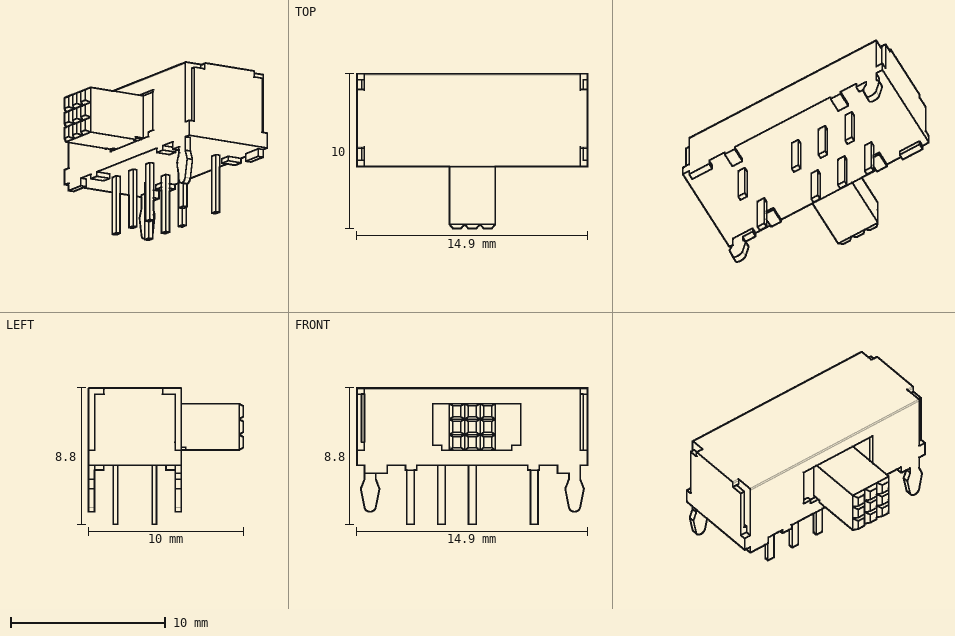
import cadquery as cq

length = 14.9
depth = 6.0
height = 5.0
wall = 0.4
top_edge_radius = 0.07
half_length = length / 2
half_depth = depth / 2
shell_ceiling = height - wall

corner_length = 0.48
corner_floor = 1.0
end_plate = 0.3
front_tab_inset = 1.2
back_tab_inset = 1.0
left_gap_floor = 1.5
right_gap_floor = corner_floor

window_center = 0.28
window_width = 5.69
window_neck_width = 4.53
window_top = 4.0
window_shoulder = 1.3
window_bottom = corner_floor
window_recess = 0.3

slider_length = 4.0
slider_width = 2.98
stud_height = 0.27
studs_per_side = 3
stud_size_x = slider_width / studs_per_side
stud_size_z = (window_top - window_bottom) / studs_per_side
stud_bevel_x = 0.24
stud_bevel_z = 0.15
notch_size_x = 0.24
notch_size_y = 0.27
notch_size_z = 0.18

foot_width = 1.49
foot_drop = 0.5
leg_shoulder_half_width = 0.37
leg_bulge_half_width = 0.61
leg_tip_half_width = 0.37
leg_neck_z = -0.9
leg_bulge_z = -1.5
leg_tip_z = -2.7
leg_end_z = -3.0
standoff_center = 3.95
standoff_width = 0.75
standoff_depth = 1.0
standoff_drop = 0.3
pin_pitch = 2.0
pin_slots = (-2, -1, 0, 2)
pin_row_offset = 1.25
pin_width = 0.5
pin_thickness = 0.3
pin_drop = 3.8


def box(x0, x1, y0, y1, z0, z1):
    """Axis-aligned block between opposite corners."""
    return cq.Workplane("XY").box(x1 - x0, y1 - y0, z1 - z0, centered=False).translate((x0, y0, z0))


def end_span(side, inner, outer):
    """X range at the left (-1) or right (+1) end, from two distances to the centre."""
    return sorted((side * inner, side * outer))


def make_body():
    body = box(-half_length, half_length, -half_depth, half_depth, 0, height)
    body = body.edges("|X and >Z").fillet(top_edge_radius)
    for side, gap_floor in ((-1, left_gap_floor), (1, right_gap_floor)):
        x0, x1 = end_span(side, half_length - corner_length, half_length)
        opening = box(x0, x1, -half_depth, half_depth, shell_ceiling, height)
        tab = box(x0, x1, -half_depth + front_tab_inset, half_depth - back_tab_inset, shell_ceiling, height)
        body = body.cut(opening.cut(tab.edges("|X and >Z").fillet(top_edge_radius)))
        body = body.cut(box(x0, x1, -half_depth, -half_depth + wall, corner_floor, height))
        body = body.cut(box(x0, x1, half_depth - wall, half_depth, corner_floor, height))
        gap_x0, gap_x1 = end_span(side, half_length - corner_length, half_length - end_plate)
        body = body.cut(
            box(gap_x0, gap_x1, -half_depth + wall, half_depth - wall, gap_floor, shell_ceiling)
        )
    return body


def make_window():
    recess_y = -half_depth + window_recess
    neck_half = window_neck_width / 2
    wide_half = window_width / 2
    neck = box(window_center - neck_half, window_center + neck_half, -half_depth, recess_y,
               window_bottom, window_top)
    wide = box(window_center - wide_half, window_center + wide_half, -half_depth, recess_y,
               window_shoulder, window_top)
    return neck.union(wide)


def make_stud(x, z):
    """Truncated pyramid pointing to -Y with its base centred on (x, z)."""
    return (
        cq.Workplane("XZ", origin=(x, -half_depth - slider_length + stud_height, z))
        .rect(stud_size_x, stud_size_z)
        .workplane(offset=stud_height)
        .rect(stud_size_x - 2 * stud_bevel_x, stud_size_z - 2 * stud_bevel_z)
        .loft(ruled=True)
    )


def make_slider():
    half_width = slider_width / 2
    slider = box(-half_width, half_width, -half_depth - slider_length + stud_height,
                 -half_depth + window_recess, window_bottom, window_top)
    for side in (-1, 1):
        x0, x1 = end_span(side, half_width - notch_size_x, half_width)
        slider = slider.cut(box(x0, x1, -half_depth - notch_size_y, -half_depth + window_recess,
                                window_bottom, window_bottom + notch_size_z))
    for column in range(studs_per_side):
        for row in range(studs_per_side):
            x = -half_width + (column + 0.5) * stud_size_x
            z = window_bottom + (row + 0.5) * stud_size_z
            slider = slider.union(make_stud(x, z))
    return slider


def make_feet():
    """Flat foot at each corner, continuing the long walls of the shell."""
    feet = cq.Workplane("XY")
    foot_outer = half_length - corner_length
    for side in (-1, 1):
        x0, x1 = end_span(side, foot_outer - foot_width, foot_outer)
        feet = feet.union(box(x0, x1, -half_depth, -half_depth + wall, -foot_drop, 0))
        feet = feet.union(box(x0, x1, half_depth - wall, half_depth, -foot_drop, 0))
    return feet


def make_leg(x, front_y):
    """Bulged snap-in leg, one wall thick, with a rounded tip."""
    return (
        cq.Workplane("XZ", origin=(x, front_y, 0))
        .moveTo(-leg_shoulder_half_width, 0)
        .lineTo(-leg_shoulder_half_width, leg_neck_z)
        .lineTo(-leg_bulge_half_width, leg_bulge_z)
        .lineTo(-leg_tip_half_width, leg_tip_z)
        .threePointArc((0, leg_end_z), (leg_tip_half_width, leg_tip_z))
        .lineTo(leg_bulge_half_width, leg_bulge_z)
        .lineTo(leg_shoulder_half_width, leg_neck_z)
        .lineTo(leg_shoulder_half_width, 0)
        .close()
        .extrude(-wall)
    )


def make_legs():
    """Legs on diagonally opposite corners: back left and front right."""
    leg_x = half_length - corner_length - leg_shoulder_half_width
    return make_leg(-leg_x, half_depth - wall).union(make_leg(leg_x, -half_depth))


def make_standoffs():
    center_y = half_depth - standoff_depth / 2
    return (
        cq.Workplane("XY")
        .rect(2 * standoff_center, 2 * center_y, forConstruction=True)
        .vertices()
        .rect(standoff_width, standoff_depth)
        .extrude(-standoff_drop)
    )


def make_pins():
    centers = [(slot * pin_pitch, row * pin_row_offset) for slot in pin_slots for row in (-1, 1)]
    return cq.Workplane("XY").pushPoints(centers).rect(pin_width, pin_thickness).extrude(-pin_drop)


result = (
    make_body()
    .cut(make_window())
    .union(make_slider())
    .union(make_feet())
    .union(make_legs())
    .union(make_standoffs())
    .union(make_pins())
)